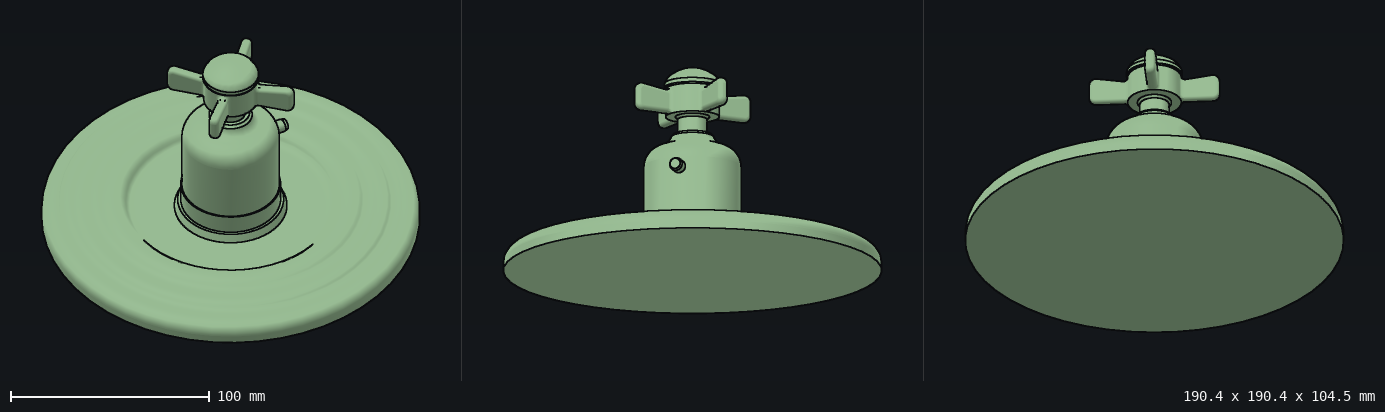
import cadquery as cq
import math

plate_radius = 95.2
lip_round = 6.5
lip_height = 4.2
floor_radius = 47.8
floor_height = 7.6
wave_turns = [(52.8, 10.5), (66.0, 12.4), (72.8, 11.6), (80.0, 10.7)]
lip_inner_radius = 86.5

flange_bottom_radius = 28.4
flange_top_radius = 26.7
flange_top = 11.8
collar_radius = 25.1
collar_top = 22.1

body_radius = 24.5
body_top = 53.5
shoulder_radius = 16.4
shoulder_height = 63.8
bell_mouth_radius = 10.9
bell_mouth_height = 69.0
bell_top_radius = 9.5
bell_top = 70.3

neck_radius = 7.5
neck_top = 78.1
hub_radius = 13.5
hub_bottom = 79.5
hub_foot_radius = 8.5
cap_radius = 14.1
cap_bottom = 93.7
cap_rim_bottom = 94.5
cap_rim_top = 96.5
cap_edge_radius = 13.7
cap_shoulder_bottom = 97.5
dome_radius = 10.5
dome_bottom = 101.2
total_height = 104.5

arm_count = 4
arm_first_angle = 45.0
arm_tip_radius = 33.0
arm_thickness = 5.3
arm_lift = 0.2
arm_bottom = hub_bottom + arm_lift
arm_tip_top = 94.3
arm_top_slope = 0.15
arm_round = 2.3
arm_corner_round = 3.5
arm_root_round = 2.3

pin_radius = 3.2
pin_height = 48.4
pin_reach = 31.8
pin_taper_length = 1.7
pin_taper_depth = 0.5


def revolve_profile(profile):
    """Spin a closed (radius, height) profile about the Z axis."""
    return profile.close().revolve(360, (0, 0, 0), (0, 1, 0))


def make_plate():
    lip_center_radius = plate_radius - lip_round
    lip_inner_offset = lip_center_radius - lip_inner_radius
    lip_inner_height = lip_height + math.sqrt(lip_round**2 - lip_inner_offset**2)
    lip_crest = (lip_center_radius, lip_height + lip_round)

    profile = cq.Workplane("XZ").lineTo(0, floor_height).lineTo(floor_radius, floor_height)
    for turn in wave_turns + [(lip_inner_radius, lip_inner_height)]:
        profile = profile.tangentArcPoint(turn, relative=False)
    profile = profile.threePointArc(lip_crest, (plate_radius, lip_height)).lineTo(plate_radius, 0)
    return revolve_profile(profile)


def make_body():
    profile = (
        cq.Workplane("XZ")
        .lineTo(flange_bottom_radius, 0)
        .lineTo(flange_bottom_radius, floor_height)
        .lineTo(flange_top_radius, flange_top)
        .lineTo(collar_radius, flange_top)
        .lineTo(collar_radius, collar_top)
        .lineTo(body_radius, collar_top)
        .lineTo(body_radius, body_top)
        .tangentArcPoint((shoulder_radius, shoulder_height), relative=False)
        .tangentArcPoint((bell_mouth_radius, bell_mouth_height), relative=False)
        .lineTo(bell_top_radius, bell_top)
        .lineTo(0, bell_top)
    )
    return revolve_profile(profile)


def make_arm(angle):
    root_top = arm_tip_top - arm_top_slope * arm_tip_radius
    arm = (
        cq.Workplane("XZ", origin=(0, arm_thickness / 2, 0))
        .moveTo(0, arm_bottom)
        .lineTo(arm_tip_radius, arm_bottom)
        .lineTo(arm_tip_radius, arm_tip_top)
        .lineTo(0, root_top)
        .close()
        .extrude(arm_thickness)
        .edges(">X and |Y")
        .fillet(arm_corner_round)
        .faces("|Y")
        .edges("not <X")
        .fillet(arm_round)
    )
    return arm.rotate((0, 0, 0), (0, 0, 1), angle)


def make_handle():
    hub_height = cap_bottom - hub_bottom
    hub = cq.Workplane("XY", origin=(0, 0, hub_bottom)).circle(hub_radius).extrude(hub_height)
    for index in range(arm_count):
        hub = hub.union(make_arm(arm_first_angle + index * 360 / arm_count))
    end_margin = arm_lift / 2
    root_zone = cq.selectors.BoxSelector(
        (-hub_radius, -hub_radius, hub_bottom + end_margin),
        (hub_radius, hub_radius, cap_bottom - end_margin),
    )
    return hub.edges(root_zone).fillet(arm_root_round)


def make_neck():
    profile = (
        cq.Workplane("XZ")
        .moveTo(0, body_top)
        .lineTo(neck_radius, body_top)
        .lineTo(neck_radius, neck_top)
        .lineTo(hub_foot_radius, hub_bottom)
        .lineTo(0, hub_bottom)
    )
    return revolve_profile(profile)


def make_cap():
    dome_rise = total_height - dome_bottom
    sphere_radius = (dome_radius**2 + dome_rise**2) / (2 * dome_rise)
    profile = (
        cq.Workplane("XZ")
        .moveTo(0, cap_bottom)
        .lineTo(cap_edge_radius, cap_bottom)
        .lineTo(cap_radius, cap_rim_bottom)
        .lineTo(cap_radius, cap_rim_top)
        .lineTo(cap_edge_radius, cap_shoulder_bottom)
        .tangentArcPoint((dome_radius, dome_bottom), relative=False)
        .radiusArc((0, total_height), -sphere_radius)
    )
    return revolve_profile(profile)


def make_pin():
    profile = (
        cq.Workplane("YZ", origin=(0, 0, pin_height))
        .lineTo(0, pin_radius)
        .lineTo(pin_reach - pin_taper_length, pin_radius)
        .lineTo(pin_reach, pin_radius - pin_taper_depth)
        .lineTo(pin_reach, 0)
    )
    return profile.close().revolve(360, (0, 0, 0), (1, 0, 0))


result = make_plate().union(make_body()).union(make_neck())
result = result.union(make_handle()).union(make_cap()).union(make_pin())